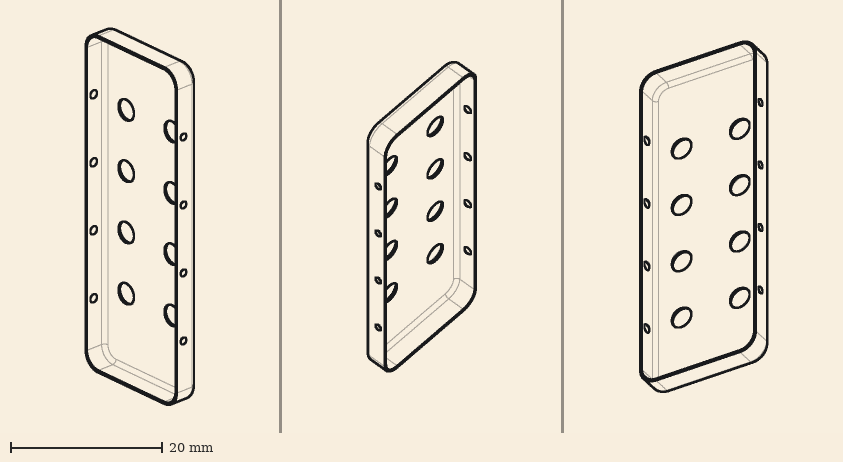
import cadquery as cq

width = 17.9
depth = 3.5
height = 49.4
wall = 0.3
corner_radius = 2.45
floor_edge_radius = 0.8
inner_edge_radius = 0.6

hole_diameter = 3.0
hole_pitch = 9.0
hole_columns = 2
hole_rows = 4

dimple_mouth_radius = 0.5
bump_base_radius = 0.6
dimple_depth = 0.3
dimple_pitch = 10.0
dimple_count = 4
dimple_from_rim = 1.2

rim_y = -depth / 2
floor_y = depth / 2


def rounded_block(size_x, size_z, y_start, y_end, vertical_radius, edge_radius):
    """Block along Y with rounded corners and a rounded edge at its +Y end."""
    block = cq.Workplane("XY").box(size_x, y_end - y_start, size_z)
    block = block.edges("|Y").fillet(vertical_radius)
    block = block.faces(">Y").edges().fillet(edge_radius)
    return block.translate((0, (y_start + y_end) / 2, 0))


def centred_positions(count, pitch):
    """Evenly spaced positions about zero."""
    return [(i - (count - 1) / 2) * pitch for i in range(count)]


def dimple_cap(side, wall_face_x, z, base_radius):
    """Spherical cap on a side wall face, bulging towards the middle of the tray.

    The dome is drawn for the left wall and mirrored for the right one.
    """
    sphere_radius = (base_radius**2 + dimple_depth**2) / (2 * dimple_depth)
    dome_side = cq.Workplane("XY").moveTo(0, 0).lineTo(0, base_radius)
    dome_side = dome_side.radiusArc((dimple_depth, 0), sphere_radius).close()
    cap = dome_side.revolve(360, (0, 0, 0), (1, 0, 0))
    if side > 0:
        cap = cap.mirror("YZ")
    return cap.translate((side * wall_face_x, rim_y + dimple_from_rim, z))


outer = rounded_block(width, height, rim_y, floor_y, corner_radius, floor_edge_radius)
cavity = rounded_block(
    width - 2 * wall, height - 2 * wall, rim_y, floor_y - wall, corner_radius - wall, inner_edge_radius
)
tray = outer.cut(cavity)

holes = (
    cq.Workplane("XZ", origin=(0, floor_y + wall, 0))
    .rarray(hole_pitch, hole_pitch, hole_columns, hole_rows)
    .circle(hole_diameter / 2)
    .extrude(3 * wall)
)
tray = tray.cut(holes)

for side in (-1, 1):
    for z in centred_positions(dimple_count, dimple_pitch):
        tray = tray.union(dimple_cap(side, width / 2 - wall, z, bump_base_radius))
        tray = tray.cut(dimple_cap(side, width / 2, z, dimple_mouth_radius))

result = tray